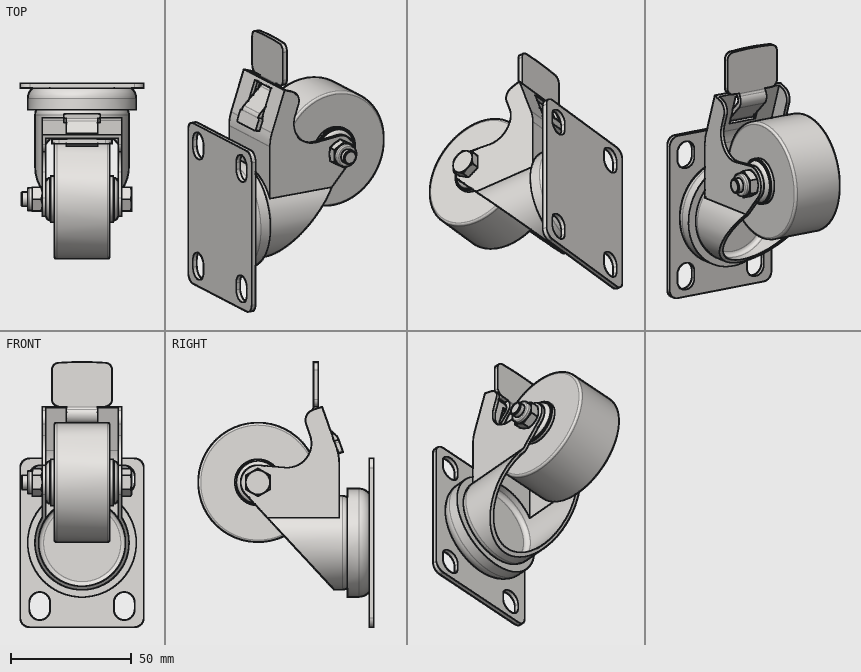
import cadquery as cq
import math


plate_width = 51.3
plate_height = 70.0
plate_thickness = 2.0
plate_corner_radius = 4.0
slot_width = 8.5
slot_length = 11.5
slot_x = 17.5
slot_z = 26.2

sheet = 1.5
ring_radius = 22.5
ring_front = 11.0
ring_round_end = 6.3
ring_round_radius = 5.6
cup_radius = 19.5
cup_inner_round = 2.0
cup_outer_round = cup_inner_round + sheet
cup_straight_start = ring_front + cup_inner_round

fork_half_width = 16.5
fork_inner_half_width = fork_half_width - sheet
fork_back = 14.3
fork_hub_radius = 7.1
cup_lip_depth = 16.4
lean_angle = math.radians(19.3)
bend_inner_radius = 16.0
bend_outer_radius = bend_inner_radius + sheet
bend_centre = (fork_back + bend_outer_radius, 33.1)
lean_top_z = 56.35
leaf_width = 8.7
leaf_round = 4.5
throat_radius = 10.0
throat_drop = 9.6

overall_depth = 72.8
wheel_radius = 24.8
wheel_width = 23.0
wheel_round = 1.0
axle_depth = overall_depth - wheel_radius
axle_z = 25.0
axle_centre = (axle_depth, axle_z)
hub_radius = 9.6
hub_rim_end = 13.0
hub_shoulder_radius = 8.9
hub_shoulder_end = 13.4
hub_face_radius = 7.2
hub_dome_radius = 2.5
bolt_radius = 3.0
bolt_end = 25.05
bolt_chamfer = 0.4
hex_across_flats = 10.0
hex_corner_radius = hex_across_flats / 2 / math.cos(math.pi / 6)
hex_length = 4.0
hex_chamfer_angle = math.radians(30)
collar_radius = 4.8
collar_length = 2.0
collar_round = 0.6

overall_height = 109.93
pedal_thickness = 2.0
pedal_bend_radius = 3.0
pad_half_width = 12.5
pad_front = 25.0
pad_bottom = 56.4
pad_top = overall_height - plate_height / 2
pad_corner_radius = 3.0
pad_crown_radius = 130.0
strip_width = 13.0
strip_bulge_front = 26.0
hook_width = 15.0
hook_top = 15.1
hook_bottom = 20.6
hook_corner_radius = 0.8

window_top = 1.9
window_bottom = hook_top

beyond = 100.0


def polar(centre, radius, angle):
    """Point at an angle on a circle in the (depth, z) plane."""
    return (centre[0] + radius * math.cos(angle), centre[1] + radius * math.sin(angle))


def direction(start, end):
    """Angle of the line from one point to another."""
    return math.atan2(end[1] - start[1], end[0] - start[0])


def crossing_tilt(first, second, radius_sum):
    """Angle between the centre line of two circles and a tangent that crosses between them."""
    return math.asin(radius_sum / math.dist(first, second))


def side_profile():
    """Workplane on x = 0 whose local x is depth and local y is z."""
    return cq.Workplane(cq.Plane(origin=(0, 0, 0), xDir=(0, -1, 0), normal=(-1, 0, 0)))


def swivel_plane(depth):
    """Workplane across the swivel axis with local x along X, local y along Z, facing -Y."""
    return cq.Workplane("XZ", origin=(0, -depth, 0))


def axle_plane(x):
    """Workplane across the wheel axle, facing +X."""
    return cq.Workplane("YZ", origin=(x, -axle_depth, axle_z))


bend_end = polar(bend_centre, bend_outer_radius, math.pi - lean_angle)
lean_top = (bend_end[0] + (lean_top_z - bend_end[1]) * math.tan(lean_angle), lean_top_z)


def lean(across, down):
    """Point in the leaning wall's frame: across towards the wheel, down from its top back corner."""
    return (
        lean_top[0] + across * math.cos(lean_angle) - down * math.sin(lean_angle),
        lean_top[1] - across * math.sin(lean_angle) - down * math.cos(lean_angle),
    )


def make_plate():
    plate = (
        swivel_plane(0).rect(plate_width, plate_height).extrude(plate_thickness)
        .edges("|Y").fillet(plate_corner_radius)
    )
    slots = (
        swivel_plane(0).rect(2 * slot_x, 2 * slot_z, forConstruction=True).vertices()
        .slot2D(slot_length, slot_width, 90).extrude(plate_thickness)
    )
    return plate.cut(slots)


def make_ring():
    """Disc whose rounded back edge runs into the plate."""
    round_centre = (ring_round_end, ring_radius - ring_round_radius)
    start_angle = math.pi - math.acos((ring_round_end - plate_thickness) / ring_round_radius)
    return (
        side_profile().moveTo(plate_thickness, 0)
        .lineTo(*polar(round_centre, ring_round_radius, start_angle))
        .threePointArc(
            polar(round_centre, ring_round_radius, (start_angle + math.pi / 2) / 2),
            (ring_round_end, ring_radius),
        )
        .lineTo(ring_front, ring_radius).lineTo(ring_front, 0)
        .close().revolve(360, (0, 0, 0), (1, 0, 0))
    )


def cup_body(radius, round_radius):
    """Long cylinder on the swivel axis with a rounded back end."""
    base = cup_straight_start - round_radius
    return (
        swivel_plane(base).circle(radius).extrude(beyond)
        .faces(">Y").edges().fillet(round_radius)
    )


def fork_side_outline():
    """The fork's side shape, extruded across the full width of the cup."""
    lip = (cup_lip_depth, -cup_radius)
    lip_tilt = math.asin(fork_hub_radius / math.dist(lip, axle_centre))
    lower_angle = direction(lip, axle_centre) - lip_tilt
    hub_bottom = polar(axle_centre, fork_hub_radius, lower_angle - math.pi / 2)

    throat = lean(leaf_width + throat_radius, throat_drop)
    upper_angle = direction(throat, axle_centre)
    upper_angle += crossing_tilt(throat, axle_centre, throat_radius + fork_hub_radius)
    hub_top = polar(axle_centre, fork_hub_radius, upper_angle + math.pi / 2)
    hub_tip = polar(axle_centre, fork_hub_radius, (lower_angle + upper_angle) / 2)
    throat_start_angle = upper_angle + 3 * math.pi / 2
    throat_end_angle = math.pi - lean_angle
    throat_middle = polar(throat, throat_radius, (throat_start_angle + throat_end_angle) / 2)

    leaf_centre = lean(leaf_width - leaf_round, leaf_round)
    return (
        side_profile().moveTo(*lip).lineTo(*hub_bottom)
        .threePointArc(hub_tip, hub_top)
        .lineTo(*polar(throat, throat_radius, throat_start_angle))
        .threePointArc(throat_middle, lean(leaf_width, throat_drop))
        .lineTo(*lean(leaf_width, leaf_round))
        .threePointArc(
            polar(leaf_centre, leaf_round, math.pi / 4 - lean_angle),
            lean(leaf_width - leaf_round, 0),
        )
        .lineTo(*lean_top).lineTo(*bend_end)
        .threePointArc(
            polar(bend_centre, bend_outer_radius, math.pi - lean_angle / 2),
            (fork_back, bend_centre[1]),
        )
        .lineTo(fork_back, -cup_radius).close()
        .extrude(cup_radius, both=True)
    )


def block_above(width, z):
    """Long block of a given width, centred on the swivel axis and standing on a height."""
    return cq.Workplane("XY", origin=(0, 0, z)).rect(width, 2 * beyond).extrude(beyond)


def make_channel_space():
    """Space between the channel's side walls, in front of its bent back wall."""
    wall_front = fork_back + sheet
    return (
        side_profile().moveTo(wall_front, 0).lineTo(wall_front, bend_centre[1])
        .threePointArc(
            polar(bend_centre, bend_inner_radius, math.pi - lean_angle / 2),
            polar(bend_centre, bend_inner_radius, math.pi - lean_angle),
        )
        .lineTo(*lean(sheet, 0)).lineTo(beyond, lean_top_z).lineTo(beyond, 0).close()
        .extrude(fork_inner_half_width, both=True)
    )


def make_window():
    return (
        side_profile()
        .polyline([
            lean(-sheet, window_top),
            lean(2 * sheet, window_top),
            lean(2 * sheet, window_bottom),
            lean(-sheet, window_bottom),
        ])
        .close().extrude(strip_width / 2, both=True)
    )


def make_fork():
    cup = cup_body(cup_radius, cup_outer_round)
    cup_base = cup.intersect(swivel_plane(0).rect(beyond, beyond).extrude(fork_back))

    side_foot_z = math.sqrt(cup_radius**2 - fork_half_width**2)
    section = cup.cut(block_above(beyond, side_foot_z))
    section = section.union(block_above(2 * fork_half_width, side_foot_z))
    fork = cup_base.union(section.intersect(fork_side_outline()))

    cup_bore = cup_body(cup_radius - sheet, cup_inner_round)
    bolt_hole = axle_plane(0).circle(bolt_radius).extrude(beyond, both=True)
    return fork.cut(make_channel_space()).cut(cup_bore).cut(bolt_hole).cut(make_window())


def make_housing():
    return make_plate().union(make_ring()).union(make_fork())


def make_hub():
    """Stepped and domed hub from the wheel's middle to the fork's wall on the +X side."""
    return (
        cq.Workplane("XY", origin=(0, -axle_depth, axle_z))
        .lineTo(0, hub_radius).lineTo(hub_rim_end, hub_radius)
        .lineTo(hub_rim_end, hub_shoulder_radius).lineTo(hub_shoulder_end, hub_shoulder_radius)
        .radiusArc((fork_inner_half_width, hub_face_radius), hub_dome_radius)
        .lineTo(fork_inner_half_width, 0).close().revolve(360, (0, 0, 0), (1, 0, 0))
    )


def make_hex(x):
    """Hexagon from x towards +X, the corners of its +X end chamfered."""
    hexagon = (
        axle_plane(x).transformed(rotate=(0, 0, 90))
        .polygon(6, 2 * hex_corner_radius).extrude(hex_length)
    )
    corner_depth = hex_corner_radius - hex_across_flats / 2
    chamfer_length = corner_depth * math.tan(hex_chamfer_angle)
    envelope = (
        axle_plane(x)
        .circle(hex_corner_radius).extrude(hex_length)
        .faces(">X").edges().chamfer(chamfer_length, corner_depth)
    )
    return hexagon.intersect(envelope)


def make_wheel():
    tyre = axle_plane(-wheel_width / 2).circle(wheel_radius).extrude(wheel_width)
    tyre = tyre.edges().fillet(wheel_round)
    hub = make_hub()
    shank = (
        axle_plane(-bolt_end).circle(bolt_radius).extrude(bolt_end + fork_half_width)
        .faces("<X").chamfer(bolt_chamfer)
    )
    nut_end = -fork_half_width - hex_length
    collar = (
        axle_plane(nut_end).circle(collar_radius).extrude(-collar_length)
        .faces("<X").edges().fillet(collar_round)
    )
    nut = make_hex(nut_end)
    bolt_head = make_hex(fork_half_width)
    wheel_body = tyre.union(hub).union(hub.mirror("YZ"))
    return wheel_body.union(shank).union(nut).union(collar).union(bolt_head)


def make_strip():
    """Bent strip: down from the pad, bulging forward, then back through the window to the hook."""
    pad_middle = pad_front - pedal_thickness / 2

    neck = (pad_middle + pedal_bend_radius, pad_bottom)
    bulge_depth = strip_bulge_front - pedal_thickness / 2 - pedal_bend_radius
    neck_angle = math.acos((neck[0] - bulge_depth) / (2 * pedal_bend_radius))
    bulge = polar(neck, 2 * pedal_bend_radius, math.pi + neck_angle)
    hook = lean(pedal_bend_radius - pedal_thickness / 2, hook_top)

    ramp_angle = direction(bulge, hook) - crossing_tilt(bulge, hook, 2 * pedal_bend_radius)
    bulge_end_angle = ramp_angle + math.pi / 2
    hook_start_angle = bulge_end_angle + math.pi
    hook_end_angle = math.pi - lean_angle

    middle_line = (
        side_profile().moveTo(pad_middle, pad_bottom)
        .threePointArc(
            polar(neck, pedal_bend_radius, math.pi + neck_angle / 2),
            polar(neck, pedal_bend_radius, math.pi + neck_angle),
        )
        .threePointArc(
            polar(bulge, pedal_bend_radius, (neck_angle + bulge_end_angle) / 2),
            polar(bulge, pedal_bend_radius, bulge_end_angle),
        )
        .lineTo(*polar(hook, pedal_bend_radius, hook_start_angle))
        .threePointArc(
            polar(hook, pedal_bend_radius, (hook_start_angle + hook_end_angle) / 2),
            polar(hook, pedal_bend_radius, hook_end_angle),
        )
    )
    section = cq.Workplane("XY", origin=(0, -pad_middle, pad_bottom)).rect(strip_width, pedal_thickness)
    return section.sweep(middle_line)


def make_hook():
    """Wide flat end that lies on the back of the leaning wall."""
    hook = (
        side_profile()
        .polyline([
            lean(0, hook_top),
            lean(0, hook_bottom),
            lean(-pedal_thickness, hook_bottom),
            lean(-pedal_thickness, hook_top),
        ])
        .close().extrude(hook_width / 2, both=True)
    )
    wall_normal = cq.Vector(0, -math.cos(lean_angle), -math.sin(lean_angle))
    return hook.edges(cq.ParallelDirSelector(wall_normal)).fillet(hook_corner_radius)


def make_pad():
    """Rounded plate with a slightly crowned top edge."""
    crown_drop = pad_crown_radius - math.sqrt(pad_crown_radius**2 - pad_half_width**2)
    shoulder_z = pad_top - crown_drop
    return (
        swivel_plane(pad_front - pedal_thickness)
        .moveTo(-pad_half_width, pad_bottom).lineTo(pad_half_width, pad_bottom)
        .lineTo(pad_half_width, shoulder_z)
        .threePointArc((0, pad_top), (-pad_half_width, shoulder_z)).close()
        .extrude(pedal_thickness).edges("|Y").fillet(pad_corner_radius)
    )


def make_pedal():
    return make_pad().union(make_strip()).union(make_hook())


housing = make_housing()
wheel = make_wheel()
pedal = make_pedal()
result = cq.Compound.makeCompound([housing.val(), wheel.val(), pedal.val()])